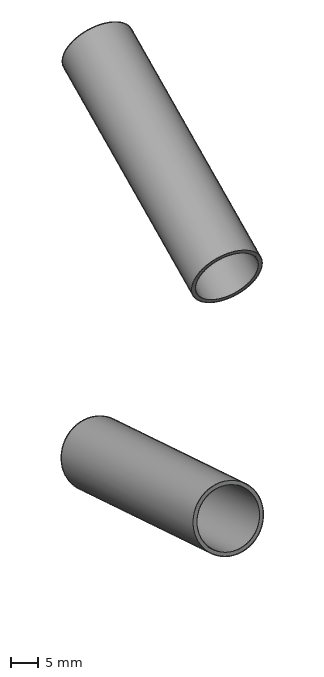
import cadquery as cq

length = 56.25
outer_diameter = 14.2
inner_diameter = 12.6

result = (
    cq.Workplane("YZ", origin=(-length / 2, 0, 0))
    .circle(outer_diameter / 2)
    .circle(inner_diameter / 2)
    .extrude(length)
)